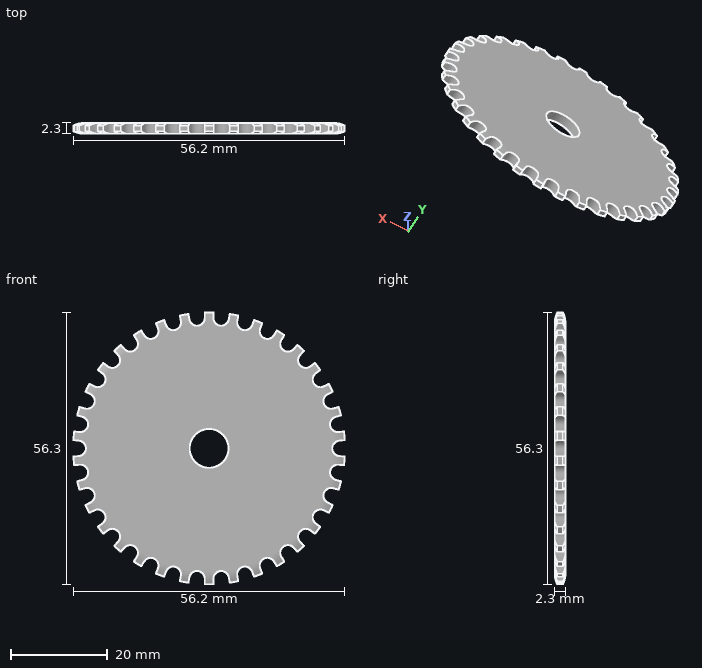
import cadquery as cq
import math

tooth_count = 34
tip_radius = 28.15
thickness = 2.3
bore_diameter = 8.0
pitch_radius = 27.1
roller_radius = 1.6
face_radius = 25.75
tip_thickness = 1.2

half_thickness = thickness / 2
half_tip = tip_thickness / 2
half_pitch = math.pi / tooth_count
bevel_height = tip_radius - face_radius
bevel_depth = half_thickness - half_tip
bevel_radius = (bevel_height**2 + bevel_depth**2) / (2 * bevel_depth)


def bevel_middle():
    """Radius and half thickness halfway along the rounded tooth bevel."""
    half_sweep = math.asin(bevel_height / bevel_radius) / 2
    radius = face_radius + bevel_radius * math.sin(half_sweep)
    offset = half_thickness - bevel_radius * (1 - math.cos(half_sweep))
    return radius, offset


def make_blank():
    """Disc with a bore and a rim rounded on both sides."""
    bore_radius = bore_diameter / 2
    mid_radius, mid_offset = bevel_middle()
    return (
        cq.Workplane("XY")
        .moveTo(bore_radius, -half_thickness)
        .lineTo(face_radius, -half_thickness)
        .threePointArc((mid_radius, -mid_offset), (tip_radius, -half_tip))
        .lineTo(tip_radius, half_tip)
        .threePointArc((mid_radius, mid_offset), (face_radius, half_thickness))
        .lineTo(bore_radius, half_thickness)
        .close()
        .revolve(360, (0, 0, 0), (0, 1, 0))
    )


def make_gap():
    """Tooth gap on +Z: a round bottom with flanks parallel to the neighbouring teeth."""
    flank_length = tip_radius - pitch_radius + roller_radius
    seat_x = roller_radius * math.cos(half_pitch)
    seat_z = pitch_radius - roller_radius * math.sin(half_pitch)
    outer_x = seat_x + flank_length * math.sin(half_pitch)
    outer_z = seat_z + flank_length * math.cos(half_pitch)
    return (
        cq.Workplane("XZ")
        .moveTo(-outer_x, outer_z)
        .lineTo(-seat_x, seat_z)
        .threePointArc((0, pitch_radius - roller_radius), (seat_x, seat_z))
        .lineTo(outer_x, outer_z)
        .close()
        .extrude(half_thickness, both=True)
    )


gap = make_gap()
gaps = cq.Workplane("XY")
for index in range(tooth_count):
    angle = math.degrees(half_pitch) * (2 * index + 1)
    gaps = gaps.add(gap.rotate((0, 0, 0), (0, 1, 0), angle))

result = cq.Workplane(make_blank().val().cut(*gaps.vals()))